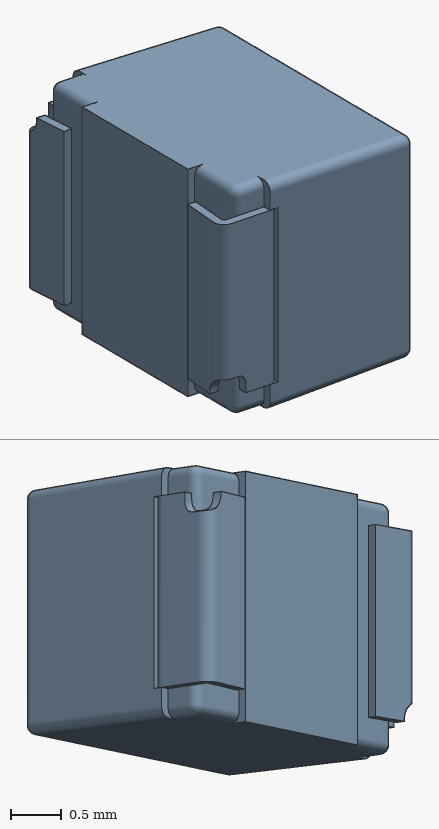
import cadquery as cq
import math

LENGTH = 3.2
DEPTH = 2.4
WIDTH = 2.5

PARTING_Y = 0.6
DRAFT_ANGLE = 1.0
EDGE_RADIUS = 0.1
BASE_FRONT_Y = 0.235
PAD_FRONT_Y = 0.15
PAD_LENGTH = 1.715

LEAD_THICKNESS = 0.1
LEAD_WIDTH = 1.915
BEND_INNER_RADIUS = 0.03
FOOT_ANGLE = 4.5
FOOT_TIP_X = 1.0

NOTCH_LENGTH = 0.195
NOTCH_DEPTH = 0.208
NOTCH_TOP_Y = 0.3
NOTCH_CORNER_RADIUS = 0.192
NOTCH_END_RADIUS = 0.095

half_length = LENGTH / 2
base_half_length = half_length - LEAD_THICKNESS
lead_top_y = PARTING_Y + LEAD_THICKNESS


def y_block(length, width, y_start, y_end, taper=0):
    """Rectangular block extruded along +Y, centred in X and Z."""
    plane = cq.Plane(origin=(0, y_start, 0), xDir=(1, 0, 0), normal=(0, 1, 0))
    return cq.Workplane(plane).rect(length, width).extrude(y_end - y_start, taper=taper)


def make_housing():
    rear = y_block(LENGTH, WIDTH, PARTING_Y, DEPTH, DRAFT_ANGLE)
    rear = rear.edges("not <Y").fillet(EDGE_RADIUS)

    base = y_block(2 * base_half_length, WIDTH, BASE_FRONT_Y, PARTING_Y)
    base = base.edges("not >Y").fillet(EDGE_RADIUS)

    pad = y_block(PAD_LENGTH, WIDTH, PAD_FRONT_Y, PARTING_Y)
    housing = rear.union(base).union(pad)

    for side in (-1, 1):
        recess = y_block(LEAD_THICKNESS, LEAD_WIDTH, PARTING_Y, lead_top_y)
        housing = housing.cut(recess.translate((side * (half_length - LEAD_THICKNESS / 2), 0, 0)))
    return housing


def lead_strip():
    """Left lead before notching: rounded upper end, wall, bend and slightly raised foot."""
    angle = math.radians(FOOT_ANGLE)
    outer_radius = BEND_INNER_RADIUS + LEAD_THICKNESS
    bend_x = outer_radius - half_length
    bend_y = outer_radius

    def bend_point(radius, direction):
        return (bend_x + radius * math.cos(direction), bend_y + radius * math.sin(direction))

    foot_direction = 1.5 * math.pi + angle
    middle_direction = (math.pi + foot_direction) / 2
    outer_end = bend_point(outer_radius, foot_direction)
    inner_end = bend_point(BEND_INNER_RADIUS, foot_direction)

    tip_outer = (-FOOT_TIP_X, outer_end[1] + (-FOOT_TIP_X - outer_end[0]) * math.tan(angle))
    tip_inner = (
        tip_outer[0] - LEAD_THICKNESS * math.sin(angle),
        tip_outer[1] + LEAD_THICKNESS * math.cos(angle),
    )
    round_middle = (
        -base_half_length - LEAD_THICKNESS * math.sqrt(0.5),
        PARTING_Y + LEAD_THICKNESS * math.sqrt(0.5),
    )
    profile = (
        cq.Workplane("XY")
        .moveTo(-base_half_length, lead_top_y)
        .threePointArc(round_middle, (-half_length, PARTING_Y))
        .lineTo(-half_length, bend_y)
        .threePointArc(bend_point(outer_radius, middle_direction), outer_end)
        .lineTo(*tip_outer)
        .lineTo(*tip_inner)
        .lineTo(*inner_end)
        .threePointArc(bend_point(BEND_INNER_RADIUS, middle_direction), (-base_half_length, bend_y))
        .close()
    )
    return profile.extrude(LEAD_WIDTH / 2, both=True)


def notch_cutter():
    """Rounded block that removes the upper part of the left lead's bend."""
    clearance = 0.32
    right = NOTCH_LENGTH - half_length
    bottom = LEAD_WIDTH / 2 - NOTCH_DEPTH
    cutter = cq.Workplane("XY").box(
        NOTCH_LENGTH + clearance, NOTCH_TOP_Y + clearance, NOTCH_DEPTH + clearance, centered=False
    ).translate((right - NOTCH_LENGTH - clearance, -clearance, bottom))
    cutter = cutter.edges(">X and <Z").fillet(NOTCH_CORNER_RADIUS)
    return cutter.faces(">Y").edges("not (>Z or <X)").fillet(NOTCH_END_RADIUS)


def make_lead(turn):
    """Lead turned about the Y axis, which puts the notches at opposite corners."""
    return lead_strip().cut(notch_cutter()).rotate((0, 0, 0), (0, 1, 0), turn)


housing = make_housing()
leads = [make_lead(turn) for turn in (0, 180)]

result = cq.Compound.makeCompound([housing.val(), *[lead.val() for lead in leads]])